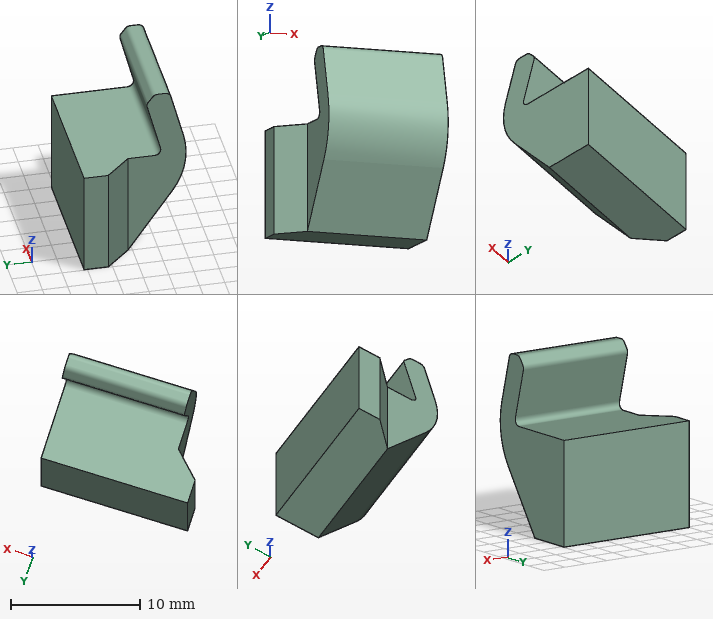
import cadquery as cq
import math

length = 11.9
depth = 8.52
height = 14.1

ledge_height = 8.47
wing_width = 1.99
nose_radius = 6.0
lip_thickness = 2.0
lip_lean = math.radians(15)
under_slope = math.radians(35)
tip_bevel = 0.86
edge_radius = 0.5


def nose_point(radius, angle):
    """Point (y, z) at an angle above the horizontal on a circle about the nose centre."""
    return (
        nose_radius - radius * math.cos(angle),
        ledge_height + radius * math.sin(angle),
    )


def on_lip_line(start, z):
    """Point where the leaning line through start reaches height z."""
    return (start[0] + (z - start[1]) * math.tan(lip_lean), z)


upper_tangent = nose_point(nose_radius, lip_lean)
lower_tangent = nose_point(nose_radius, -under_slope)
inner_point = nose_point(nose_radius - lip_thickness, lip_lean)
foot_y = lower_tangent[0] + lower_tangent[1] * math.tan(under_slope)

tip_front = on_lip_line(upper_tangent, height)
tip_rear = on_lip_line(inner_point, height)
bevel_top = (tip_rear[0] - tip_bevel, height)
bevel_bottom = on_lip_line(inner_point, height - tip_bevel * math.cos(lip_lean))
lip_root = on_lip_line(inner_point, ledge_height)


def make_hook():
    """Hooked profile running along X, with rounded lip edges."""
    hook = (
        cq.Workplane("YZ", origin=(wing_width, 0, 0))
        .moveTo(foot_y, 0)
        .lineTo(*lower_tangent)
        .threePointArc((0, ledge_height), upper_tangent)
        .lineTo(*tip_front)
        .lineTo(*bevel_top)
        .lineTo(*bevel_bottom)
        .lineTo(*lip_root)
        .lineTo(depth, ledge_height)
        .lineTo(depth, 0)
        .close()
        .extrude(length - wing_width)
    )
    middle_x = (wing_width + length) / 2
    for y, z in (tip_front, bevel_top, bevel_bottom, lip_root):
        edge = cq.selectors.NearestToPointSelector((middle_x, y, z))
        hook = hook.edges(edge).fillet(edge_radius)
    return hook


def make_wing():
    """Side wing of the base, bevelled at 45 degrees from the foot edge."""
    return (
        cq.Workplane("XY")
        .polyline([
            (wing_width, foot_y),
            (0, foot_y + wing_width),
            (0, depth),
            (wing_width, depth),
        ])
        .close()
        .extrude(ledge_height)
    )


result = make_hook().union(make_wing())